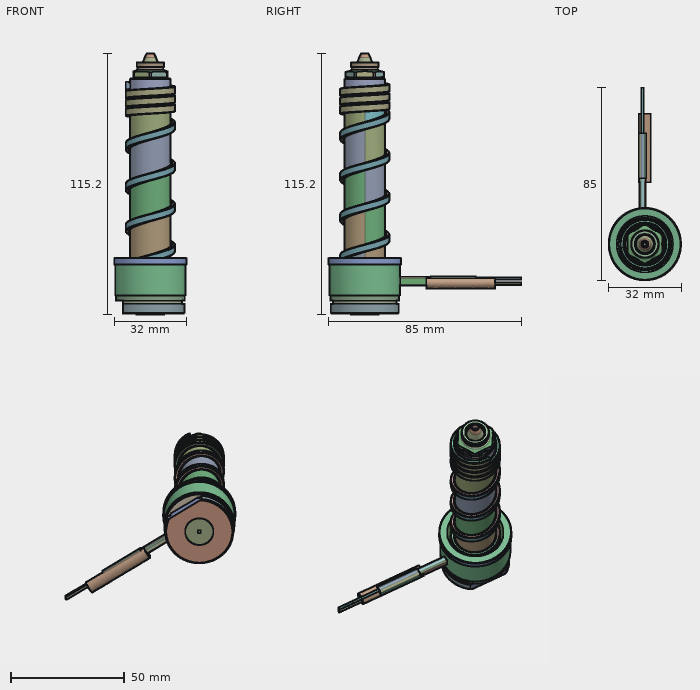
import cadquery as cq
import math

stub_radius = 6.2
stub_height = 0.3
foot_radius = 15.1
foot_chamfer = 0.6
foot_top = 4.7
groove_radius = 14.0
shoulder_bottom = 6.2
shoulder_radius = 15.2
flat_offset = 12.1

shell_bottom = 8.3
shell_radius = 15.5
shell_chamfer = 0.3
rim_bottom = 21.9
rim_top = 25.1
rim_radius = 16.0
rim_chamfer = 0.3
pocket_radius = 12.4
pocket_floor = 8.6
pocket_chamfer = 0.8

tube_radius = 9.0
tube_top = 104.3
tube_chamfer = 0.6
nut_bottom = 104.7
nut_top = 107.1
nut_crown = 0.5
nut_crown_radius = 6.5
nut_flats = 15.2
nut_corner_radius = 8.5
nut_neck_radius = 7.4
collar_neck_radius = 5.8
collar_neck_base = 108.0
collar_bottom = 109.1
collar_top = 111.3
collar_radius = 6.1
collar_chamfer = 0.2
tip_well_radius = 4.5
tip_well_floor = 109.7
tip_base_radius = 3.9
tip_shoulder_height = 113.4
tip_shoulder_radius = 2.5
tip_end_radius = 1.6
tip_height = 115.2
bore_radius = 0.7
bore_mouth_radius = 1.4
bore_mouth_depth = 1.7

coil_radius = 11.0
coil_height = 3.5
coil_inner_radius = 9.2
coil_root_radius = 8.8
coil_chamfer = 0.3
closed_pitch = 3.9
open_pitch = 18.0
closed_turns = 3.24
open_start_angle = 225
open_start_height = 22.6
open_turns = 3.66

total_length_y = 85.0
cable_x = -1.0
cable_height = 14.7
cable_root = 14.4
wire_radius = 0.6
wire_spacing = 2.3
wire_end = total_length_y - rim_radius
jacket_width = 2.8
jacket_height = 3.9
jacket_end = 34.6
jacket_corner = 0.7
inner_sleeve_width = 3.5
inner_sleeve_height = 4.4
inner_sleeve_start = 29.0
inner_sleeve_end = 49.0
inner_sleeve_corner = 1.0
outer_sleeve_width = 5.4
outer_sleeve_height = 4.6
outer_sleeve_center = 13.7
outer_sleeve_start = 27.2
outer_sleeve_end = 57.5


def ring_profile(points):
    """Revolve a closed (radius, height) outline about Z."""
    return cq.Workplane("XZ").polyline(points).close().revolve(360, (0, 0), (0, 1))


def disc(radius, bottom, top):
    return cq.Workplane("XY").workplane(offset=bottom).circle(radius).extrude(top - bottom)


def base_cap():
    foot = disc(foot_radius, stub_height, foot_top).faces("<Z").chamfer(foot_chamfer)
    cap = foot.union(disc(stub_radius, 0, foot_top))
    cap = cap.union(disc(groove_radius, stub_height, shoulder_bottom))
    flat_cut = cq.Workplane("XY").box(
        foot_radius, 2 * foot_radius, shoulder_bottom, centered=(False, True, False)
    ).translate((-flat_offset - foot_radius, 0, 0))
    cap = cap.cut(flat_cut)
    return cap.union(disc(shoulder_radius, shoulder_bottom, shell_bottom))


def housing():
    shell = disc(shell_radius, shell_bottom, rim_top).faces("<Z").chamfer(shell_chamfer)
    rim = disc(rim_radius, rim_bottom, rim_top).faces("<Z or >Z").chamfer(rim_chamfer)
    pocket = disc(pocket_radius, pocket_floor, rim_top).faces("<Z").chamfer(pocket_chamfer)
    return shell.union(rim).cut(pocket)


def tube():
    return disc(tube_radius, shell_bottom, tube_top).faces(">Z").chamfer(tube_chamfer)


def nut():
    corner_diameter = nut_flats / math.cos(math.pi / 6)
    hexagon = (
        cq.Workplane("XY")
        .workplane(offset=nut_bottom)
        .transformed(rotate=(0, 0, 90))
        .polygon(6, corner_diameter)
        .extrude(nut_top + nut_crown - nut_bottom)
    )
    crown = ring_profile([
        (0, nut_bottom),
        (nut_corner_radius, nut_bottom),
        (nut_corner_radius, nut_top - nut_crown / 2),
        (nut_crown_radius, nut_top + nut_crown),
        (0, nut_top + nut_crown),
    ])
    return hexagon.intersect(crown).union(disc(nut_neck_radius, tube_top, nut_bottom))


def nozzle():
    collar = disc(collar_radius, collar_bottom, collar_top).faces("<Z or >Z").chamfer(collar_chamfer)
    neck = ring_profile([
        (0, nut_top),
        (nut_crown_radius, nut_top),
        (nut_crown_radius, nut_top + nut_crown),
        (collar_neck_radius, collar_neck_base),
        (collar_neck_radius, collar_bottom),
        (0, collar_bottom),
    ])
    well = disc(tip_well_radius, tip_well_floor, collar_top)
    tip = ring_profile([
        (0, tip_well_floor),
        (tip_base_radius, tip_well_floor),
        (tip_shoulder_radius, tip_shoulder_height),
        (tip_end_radius, tip_height),
        (0, tip_height),
    ])
    return neck.union(collar).cut(well).union(tip)


def bore():
    mouth = ring_profile([
        (0, tip_height - bore_mouth_depth),
        (bore_radius, tip_height - bore_mouth_depth),
        (bore_mouth_radius, tip_height),
        (0, tip_height),
    ])
    return disc(bore_radius, 0, tip_height).union(mouth)


def coil(start_angle, start_height, pitch, turns):
    """Band rising counter-clockwise, edges chamfered, on a narrower web rooted in the tube."""
    half_height = coil_height / 2
    side_height = half_height - coil_chamfer
    upper_half = [
        (coil_root_radius, side_height),
        (coil_inner_radius, side_height),
        (coil_inner_radius + coil_chamfer, half_height),
        (coil_radius - coil_chamfer, half_height),
        (coil_radius, side_height),
    ]
    lower_half = [(radius, -height) for radius, height in reversed(upper_half)]
    path = cq.Workplane(obj=cq.Wire.makeHelix(pitch, pitch * turns, coil_radius))
    band = (
        cq.Workplane("XZ")
        .polyline(upper_half + lower_half)
        .close()
        .sweep(path, isFrenet=True)
    )
    return band.rotate((0, 0, 0), (0, 0, 1), start_angle).translate((0, 0, start_height))


def spring():
    lower_angle = open_start_angle - 360 * closed_turns
    lower_height = open_start_height - closed_pitch * closed_turns
    upper_angle = open_start_angle + 360 * open_turns
    upper_height = open_start_height + open_pitch * open_turns
    return [
        coil(lower_angle, lower_height, closed_pitch, closed_turns),
        coil(open_start_angle, open_start_height, open_pitch, open_turns),
        coil(upper_angle, upper_height, closed_pitch, closed_turns),
    ]


def rear_plane(x, start, height):
    """Sketch plane facing +Y whose extrusions run along the cable."""
    return cq.Workplane(cq.Plane((x, start, height), xDir=(-1, 0, 0), normal=(0, 1, 0)))


def rounded_bar(width, height, start, end, corner_radius):
    bar = rear_plane(cable_x, start, cable_height).rect(width, height).extrude(end - start)
    return bar.edges("|Y").fillet(corner_radius)


def cable():
    jacket = rounded_bar(jacket_width, jacket_height, cable_root, jacket_end, jacket_corner)
    inner_sleeve = rounded_bar(
        inner_sleeve_width, inner_sleeve_height,
        inner_sleeve_start, inner_sleeve_end, inner_sleeve_corner,
    )
    outer_sleeve = (
        rear_plane(0, outer_sleeve_start, outer_sleeve_center)
        .ellipse(outer_sleeve_width / 2, outer_sleeve_height / 2)
        .extrude(outer_sleeve_end - outer_sleeve_start)
    )
    body = jacket.union(inner_sleeve).union(outer_sleeve)
    for side in (-1, 1):
        wire = (
            rear_plane(cable_x, cable_root, cable_height + side * wire_spacing / 2)
            .circle(wire_radius)
            .extrude(wire_end - cable_root)
        )
        body = body.union(wire)
    return body


result = base_cap().union(housing()).union(tube()).union(nut()).union(nozzle())
for winding in spring():
    result = result.union(winding)
result = result.union(cable()).cut(bore())